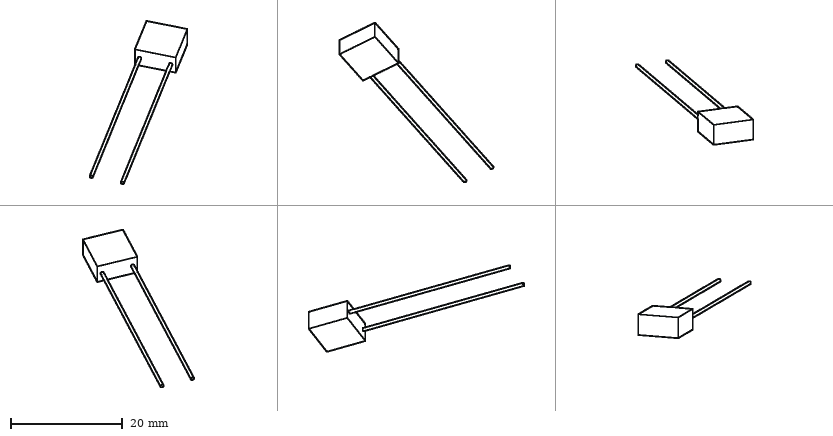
import cadquery as cq

overall_length = 39.37
housing_width = 7.65
housing_depth = housing_width
housing_height = housing_depth / 2

lead_diameter = 0.63
lead_spacing = 5.8
lead_length = overall_length - housing_depth


def make_housing():
    """Plain block with its front face on the XZ plane, extending toward +Y."""
    return cq.Workplane("XY").box(
        housing_width, housing_depth, housing_height, centered=(True, False, True)
    )


def make_lead(x):
    """Straight round wire butted against the housing's front face, extending toward -Y."""
    return cq.Workplane("XZ").center(x, 0).circle(lead_diameter / 2).extrude(lead_length)


housing = make_housing()
leads = [make_lead(side * lead_spacing / 2) for side in (-1, 1)]

result = cq.Compound.makeCompound([housing.val(), *[lead.val() for lead in leads]])